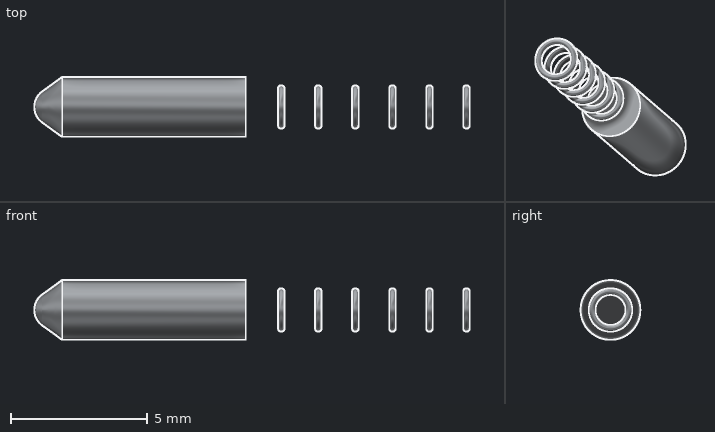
import cadquery as cq
import math

overall_length = 16.0

pin_length = 7.78
pin_radius = 1.1
nose_half_angle = math.radians(36)
tip_radius = 0.7

ring_count = 6
ring_pitch = 1.36
ring_outer_radius = 0.8
ring_wire_radius = 0.125
ring_centre_radius = ring_outer_radius - ring_wire_radius
last_ring_x = overall_length - ring_wire_radius
first_ring_x = last_ring_x - (ring_count - 1) * ring_pitch


def make_pin():
    """Revolve the pin profile, with the spherical tip tangent to the cone."""
    tangent_x = tip_radius * (1 - math.sin(nose_half_angle))
    tangent_radius = tip_radius * math.cos(nose_half_angle)
    nose_length = tangent_x + (pin_radius - tangent_radius) / math.tan(nose_half_angle)

    half_arc_angle = (math.pi / 2 - nose_half_angle) / 2
    arc_middle = (
        tip_radius * (1 - math.cos(half_arc_angle)),
        tip_radius * math.sin(half_arc_angle),
    )
    return (
        cq.Workplane("XY")
        .moveTo(0, 0)
        .threePointArc(arc_middle, (tangent_x, tangent_radius))
        .lineTo(nose_length, pin_radius)
        .lineTo(pin_length, pin_radius)
        .lineTo(pin_length, 0)
        .close()
        .revolve(360, (0, 0, 0), (1, 0, 0))
    )


def make_ring(centre_x):
    """Revolve a round wire section about the X axis."""
    return (
        cq.Workplane("XY")
        .center(centre_x, ring_centre_radius)
        .circle(ring_wire_radius)
        .revolve(360, (0, -ring_centre_radius, 0), (1, -ring_centre_radius, 0))
    )


pin = make_pin()
rings = [make_ring(first_ring_x + index * ring_pitch) for index in range(ring_count)]

result = cq.Compound.makeCompound([pin.val(), *[ring.val() for ring in rings]])